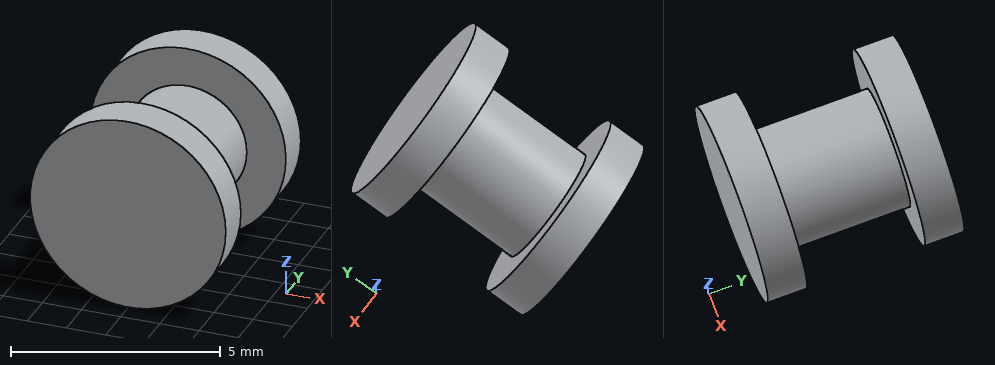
import cadquery as cq

flange_diameter = 5.0
flange_thickness = 1.0
core_diameter = 3.0
core_length = 3.0

flange_offset = core_length / 2


def cylinder_along_y(diameter, y_start, length):
    """Solid cylinder on the Y axis, from y_start towards +Y."""
    return (
        cq.Workplane("XZ")
        .workplane(offset=-y_start)
        .circle(diameter / 2)
        .extrude(-length)
    )


core = cylinder_along_y(core_diameter, -flange_offset, core_length)
front_flange = cylinder_along_y(flange_diameter, -flange_offset - flange_thickness, flange_thickness)
back_flange = cylinder_along_y(flange_diameter, flange_offset, flange_thickness)

result = core.union(front_flange).union(back_flange)